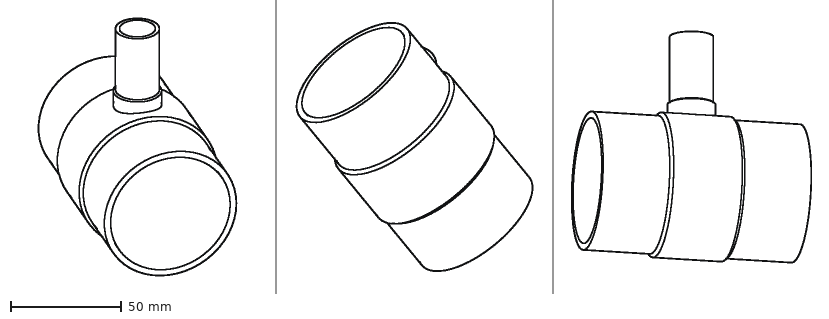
import cadquery as cq

pipe_length = 97.0
pipe_diameter = 63.0
bore_diameter = 57.0

collar_diameter = 66.0
collar_width = 35.0
collar_edge = (collar_diameter - pipe_diameter) / 2

overall_height = 103.5
branch_top = overall_height - collar_diameter / 2
branch_diameter = 20.0
branch_bore_diameter = 16.2
branch_length = 31.3

socket_diameter = 21.9
socket_top = branch_top - branch_length
socket_cone_height = 0.6


def cylinder_along_x(diameter, length):
    """Cylinder on the X axis, centred on the origin."""
    return cq.Workplane("YZ", origin=(-length / 2, 0, 0)).circle(diameter / 2).extrude(length)


def cylinder_up(diameter, top):
    """Cylinder on the Z axis, from the pipe axis up to the given height."""
    return cq.Workplane("XY").circle(diameter / 2).extrude(top)


def socket_with_cone():
    """Socket whose top end tapers to the branch diameter."""
    return (
        cq.Workplane("XZ")
        .lineTo(socket_diameter / 2, 0)
        .lineTo(socket_diameter / 2, socket_top - socket_cone_height)
        .lineTo(branch_diameter / 2, socket_top)
        .lineTo(0, socket_top)
        .close()
        .revolve(360, (0, 0, 0), (0, 1, 0))
    )


pipe = cylinder_along_x(pipe_diameter, pipe_length)
collar = cylinder_along_x(collar_diameter, collar_width).edges().chamfer(collar_edge)
socket = socket_with_cone()
branch = cylinder_up(branch_diameter, branch_top)

body = pipe.union(collar).union(socket).union(branch)
result = body.cut(cylinder_along_x(bore_diameter, pipe_length)).cut(
    cylinder_up(branch_bore_diameter, branch_top)
)